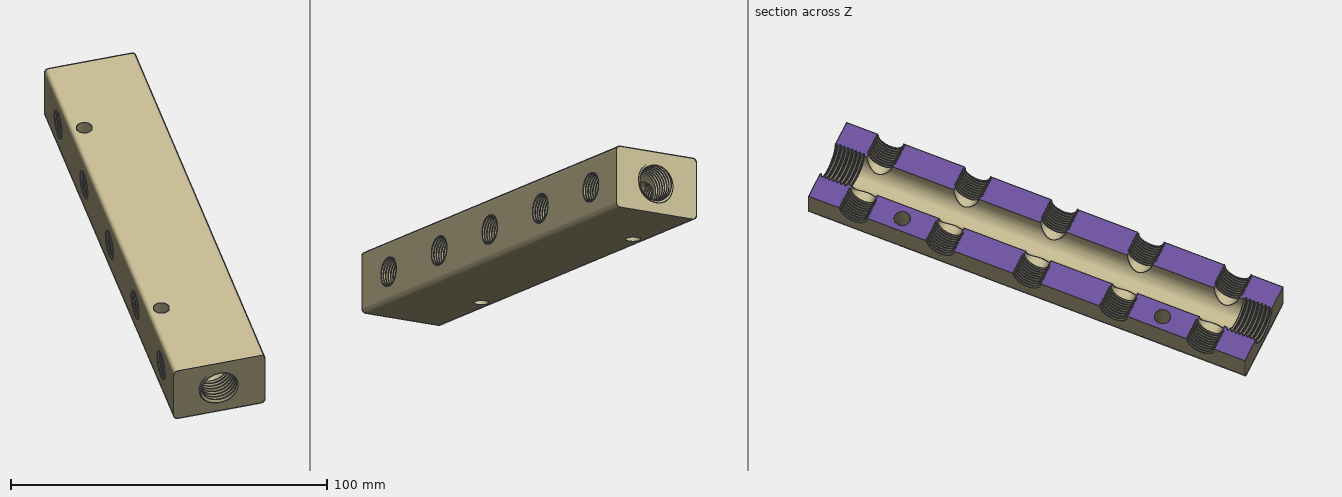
import math

import cadquery as cq

LENGTH = 151.0
WIDTH = 30.0
HEIGHT = 20.0
EDGE_RADIUS = 1.5

FLANK_HALF_ANGLE = math.radians(27.5)
G_QUARTER = (13.157, 11.445, 1.337)
G_EIGHTH = (9.728, 8.566, 0.907)
ROOT_TRUNCATION = 1 / 6
CREST_OVERLAP = 0.05

GALLERY_THREAD_LENGTH = 10.0

PORT_THREAD_LENGTH = 8.0
PORT_COUNT = 5
PORT_SPACING = 30.0

MOUNT_DIAMETER = 5.0
MOUNT_SPACING = 90.0
MOUNT_Y = -10.5


def thread_groove(thread, depth):
    """Helical groove about Z, from one pitch below Z = 0 up to the given depth."""
    major, minor, pitch = thread
    root_radius = major / 2
    inner_radius = minor / 2 - CREST_OVERLAP
    sharp_height = pitch / (2 * math.tan(FLANK_HALF_ANGLE))
    root_half = sharp_height * ROOT_TRUNCATION * math.tan(FLANK_HALF_ANGLE)
    mouth_half = root_half + (root_radius - inner_radius) * math.tan(FLANK_HALF_ANGLE)

    helix = cq.Wire.makeHelix(pitch, depth + pitch, inner_radius)
    groove = (
        cq.Workplane("XZ")
        .moveTo(inner_radius, -mouth_half)
        .lineTo(root_radius, -root_half)
        .lineTo(root_radius, root_half)
        .lineTo(inner_radius, mouth_half)
        .close()
        .sweep(cq.Workplane(helix), isFrenet=True)
    )
    return groove.translate((0, 0, -pitch))


def bar():
    return cq.Workplane("XY").box(LENGTH, WIDTH, HEIGHT).edges("|X").fillet(EDGE_RADIUS)


def both_ends(cutter):
    """The cutter and its copy turned half a revolution about Z, at the opposite face."""
    return [cutter, cutter.rotate((0, 0, 0), (0, 0, 1), 180)]


def gallery_bore():
    return cq.Workplane("YZ").circle(G_QUARTER[1] / 2).extrude(LENGTH, both=True)


def gallery_threads():
    groove = thread_groove(G_QUARTER, GALLERY_THREAD_LENGTH)
    return both_ends(groove.rotate((0, 0, 0), (0, 1, 0), 90).translate((-LENGTH / 2, 0, 0)))


def port_bores():
    ports = cq.Workplane("XZ").rarray(PORT_SPACING, 1, PORT_COUNT, 1)
    return ports.circle(G_EIGHTH[1] / 2).extrude(WIDTH, both=True)


def port_threads():
    groove = thread_groove(G_EIGHTH, PORT_THREAD_LENGTH)
    pair = both_ends(groove.rotate((0, 0, 0), (1, 0, 0), -90).translate((0, -WIDTH / 2, 0)))
    first_x = -PORT_SPACING * (PORT_COUNT - 1) / 2
    port_places = [first_x + index * PORT_SPACING for index in range(PORT_COUNT)]
    return [cutter.translate((x, 0, 0)) for x in port_places for cutter in pair]


def mounting_holes():
    holes = cq.Workplane("XY").center(0, MOUNT_Y).rarray(MOUNT_SPACING, 1, 2, 1)
    return holes.circle(MOUNT_DIAMETER / 2).extrude(HEIGHT, both=True)


drilled = bar().cut(gallery_bore()).cut(port_bores()).cut(mounting_holes())
thread_cutters = [cutter.val() for cutter in gallery_threads() + port_threads()]
threaded = drilled.val().cut(*thread_cutters)
result = cq.Workplane("XY").newObject(threaded.Solids())